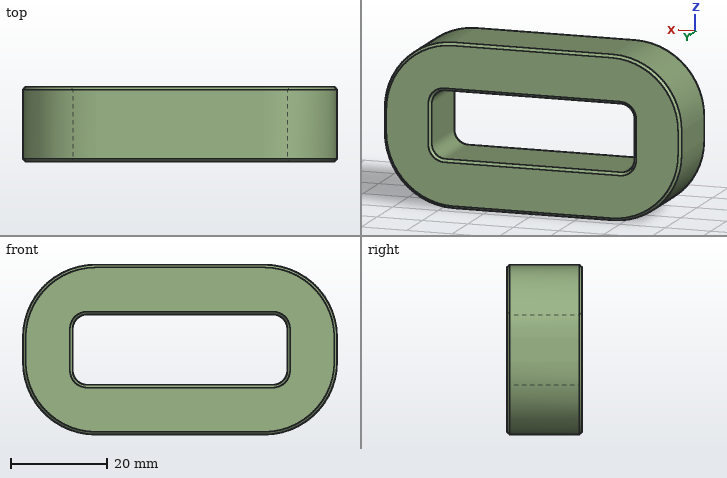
import cadquery as cq

length = 65.4
depth = 15.6
height = 35.4

wall = 10.4
end_flat = 5.0
opening_corner_radius = 3.0
edge_chamfer = 0.6

outer_corner_radius = (height - end_flat) / 2
opening_length = length - 2 * wall
opening_height = height - 2 * wall


def rounded_block(size_x, size_z, corner_radius):
    """Block centred on the origin, with its four edges along Y rounded."""
    return cq.Workplane("XY").box(size_x, depth, size_z).edges("|Y").fillet(corner_radius)


outer_body = rounded_block(length, height, outer_corner_radius)
opening = rounded_block(opening_length, opening_height, opening_corner_radius)

result = outer_body.cut(opening).faces("<Y or >Y").edges().chamfer(edge_chamfer)